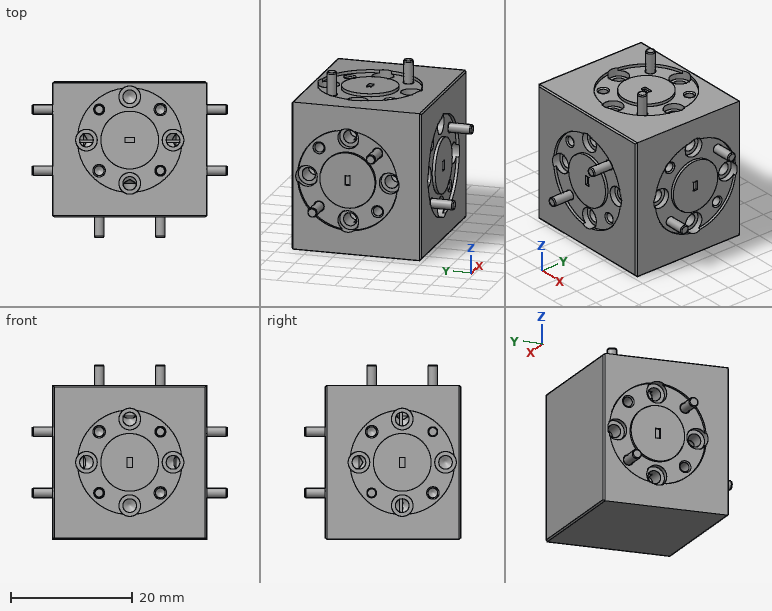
import cadquery as cq
import math


port_distance = 12.7
back_distance = 9.65
edge_chamfer = 0.25

ring_diameter = 17.25
boss_diameter = 9.5
ring_depth = 0.5
bolt_circle_radius = 7.13

screw_diameter = 2.25
screw_depth = 5.08
front_screw_depth = 5.55
counterbore_diameter = 3.57
counterbore_depth = 1.55

pin_diameter = 1.6
pin_projection = 3.37
pin_end_chamfer = 0.13
pin_end_length = 0.22
dowel_depth = 6.1
open_hole_chamfer = 0.22
pin_seat_chamfer = 0.1

guide_width = 1.65
guide_height = 0.85
guide_depth = 0.4

relief_height = 18.0
relief_width = 3.2
relief_thickness = 0.42
relief_center = 7.4

drill_half_angle = math.radians(59)
dowel_offset = bolt_circle_radius / math.sqrt(2)
pin_points = [(dowel_offset, dowel_offset), (-dowel_offset, -dowel_offset)]
open_dowel_points = [(-dowel_offset, dowel_offset), (dowel_offset, -dowel_offset)]
screw_points = [
    (bolt_circle_radius, 0),
    (0, bolt_circle_radius),
    (-bolt_circle_radius, 0),
    (0, -bolt_circle_radius),
]


def port_plane(normal, across):
    """Plane on a ported face; its local Y runs along the wide side of the waveguide."""
    origin = tuple(port_distance * part for part in normal)
    return cq.Plane(origin=origin, xDir=across, normal=normal)


front_port = port_plane((0, -1, 0), (1, 0, 0))
left_port = port_plane((-1, 0, 0), (0, -1, 0))
top_port = port_plane((0, 0, 1), (0, -1, 0))
right_port = port_plane((1, 0, 0), (0, 1, 0))
ports = [front_port, left_port, top_port, right_port]
dowelled_ports = [front_port, left_port, top_port]


def turned(profile):
    """Solid of revolution about local Z from (radius, height) points."""
    return cq.Workplane("XZ").polyline(profile).close().revolve(360, (0, 0), (0, 1)).val()


def placed(solid, port, points):
    """Copies of a solid at the given points of a port face."""
    return [solid.moved(cq.Location(cq.Vector(x, y, 0))).moved(port.location) for x, y in points]


def drill_tip(diameter, depth):
    """Height of the point of a drilled hole, below the port face."""
    return -depth - diameter / 2 / math.tan(drill_half_angle)


def screw_hole(depth):
    hole = screw_diameter / 2
    counterbore = counterbore_diameter / 2
    return turned([
        (0, 0),
        (counterbore, 0),
        (counterbore, -counterbore_depth),
        (hole, -counterbore_depth),
        (hole, -depth),
        (0, drill_tip(screw_diameter, depth)),
    ])


def dowel_hole(mouth_chamfer, end_height):
    """Hole that fits a pin, sunk from the ring recess; end_height is that of the middle of its end."""
    radius = pin_diameter / 2
    return turned([
        (0, -ring_depth),
        (radius + mouth_chamfer, -ring_depth),
        (radius, -ring_depth - mouth_chamfer),
        (radius, -dowel_depth),
        (0, end_height),
    ])


def open_dowel_hole():
    return dowel_hole(open_hole_chamfer, drill_tip(pin_diameter, dowel_depth))


def pin_seat():
    return dowel_hole(pin_seat_chamfer, -dowel_depth)


def dowel_pin():
    radius = pin_diameter / 2
    return turned([
        (0, -dowel_depth),
        (radius, -dowel_depth),
        (radius, pin_projection - pin_end_length),
        (radius - pin_end_chamfer, pin_projection),
        (0, pin_projection),
    ])


def block():
    depth = port_distance + back_distance
    blank = cq.Workplane("XZ", origin=(0, back_distance, 0)).rect(2 * port_distance, 2 * port_distance)
    return blank.extrude(depth).faces("|Y").chamfer(edge_chamfer)


def cut_port(body, port):
    """Ring recess, waveguide, screw holes and open dowel holes of one port."""
    face = cq.Workplane(port)
    ring = face.circle(ring_diameter / 2).circle(boss_diameter / 2).extrude(-ring_depth)
    guide = face.rect(guide_height, guide_width).extrude(-guide_depth)
    depth = front_screw_depth if port is front_port else screw_depth
    holes = placed(screw_hole(depth), port, screw_points)
    holes += placed(open_dowel_hole(), port, open_dowel_points)
    return body.cut(ring).cut(guide).cut(cq.Compound.makeCompound(holes))


def reliefs():
    """Flat reliefs parallel to the front face, starting at the port axes."""
    plan = cq.Workplane("XZ").pushPoints([(-relief_center, 0), (relief_center, 0)])
    return plan.rect(relief_width, relief_height).extrude(relief_thickness)


housing = block()
for port in ports:
    housing = cut_port(housing, port)
housing = housing.cut(reliefs())
for port in dowelled_ports:
    for seat in placed(pin_seat(), port, pin_points):
        housing = housing.cut(seat)
for integral_pin in placed(dowel_pin(), right_port, pin_points):
    housing = housing.union(integral_pin)

pins = []
for port in dowelled_ports:
    pins += placed(dowel_pin(), port, pin_points)

result = cq.Compound.makeCompound([housing.val(), *pins])